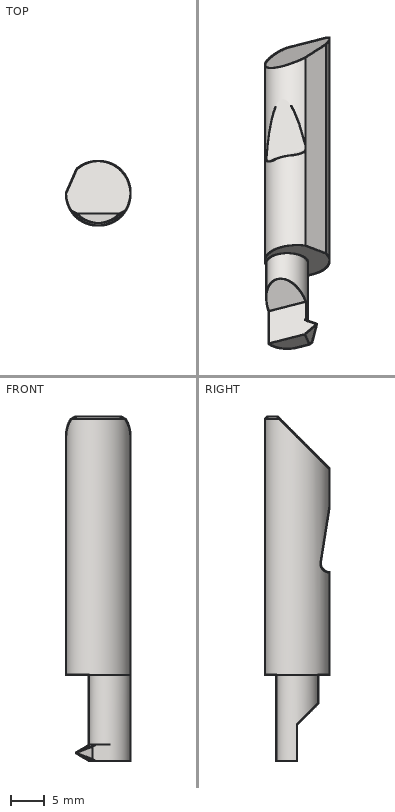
import cadquery as cq

total_length = 50.8
shank_diameter = 9.55
shank_radius = shank_diameter / 2
shank_bottom = 12.7
top_chamfer = 0.4
slope_edge_y = -2.95

flat_start = (-4.8, 0.0)
flat_end = (-3.2, 3.55)
flat_cutter_depth = 2.55

notch_top = 37.5
notch_bottom = 27.85
notch_radius = 1.3

neck_radius = 3.1
neck_x = shank_radius - neck_radius
relief_top = 8.55

tooth_height = 2.45
tip_x = -3.3
tooth_front_x = -0.85
flank_slope = 0.6
flank_setback = 0.85


def prism_along_x(sketch):
    """Extrude a closed YZ outline across the whole shank."""
    return sketch.extrude(shank_radius, both=True)


def make_shank():
    shank = (
        cq.Workplane("XY", origin=(0, 0, shank_bottom))
        .circle(shank_radius)
        .extrude(total_length - shank_bottom)
        .faces(">Z")
        .chamfer(top_chamfer)
    )
    slope_run = shank_radius - slope_edge_y
    end_slope = prism_along_x(
        cq.Workplane("YZ")
        .moveTo(slope_edge_y, total_length)
        .lineTo(shank_radius, total_length - slope_run)
        .lineTo(shank_radius, total_length)
        .close()
    )
    chord_x = flat_end[0] - flat_start[0]
    chord_y = flat_end[1] - flat_start[1]
    flat = (
        cq.Workplane(
            cq.Plane(origin=(*flat_start, shank_bottom), xDir=(chord_x, chord_y, 0), normal=(0, 0, 1))
        )
        .rect(2 * shank_diameter, flat_cutter_depth, centered=(True, False))
        .extrude(total_length)
    )
    notch_floor_y = shank_radius - notch_radius
    notch = prism_along_x(
        cq.Workplane("YZ")
        .moveTo(shank_radius, notch_top)
        .lineTo(notch_floor_y, notch_bottom + notch_radius)
        .radiusArc((shank_radius, notch_bottom), -notch_radius)
        .close()
    )
    return shank.cut(end_slope).cut(flat).cut(notch)


def make_neck():
    neck = cq.Workplane("XY").center(neck_x, 0).circle(neck_radius).extrude(shank_bottom)
    relief = prism_along_x(
        cq.Workplane("YZ")
        .lineTo(neck_radius, 0)
        .lineTo(neck_radius, relief_top)
        .lineTo(0, relief_top - neck_radius)
        .close()
    )
    tooth_seat = (
        cq.Workplane("XY", origin=(neck_x, 0, 0))
        .rect(-2 * neck_radius, -2 * neck_radius, centered=False)
        .extrude(tooth_height)
    )
    return neck.cut(relief).cut(tooth_seat)


def make_tooth():
    half_height = tooth_height / 2
    flank_length = half_height / flank_slope

    def point_outline(plane, apex_x):
        shoulder_x = apex_x + flank_length
        return plane.polyline(
            [
                (apex_x, half_height),
                (shoulder_x, tooth_height),
                (neck_x, tooth_height),
                (neck_x, 0),
                (shoulder_x, 0),
            ]
        ).close()

    rake = point_outline(cq.Workplane("XZ"), tip_x)
    point = point_outline(rake.workplane(offset=neck_radius), tip_x + flank_setback).loft(ruled=True)
    end_flank = (
        cq.Workplane("XY")
        .polyline(
            [(tip_x, 0), (tooth_front_x, -neck_radius), (neck_x, -neck_radius), (neck_x, 0)]
        )
        .close()
        .extrude(tooth_height)
    )
    return point.intersect(end_flank)


result = make_shank().union(make_neck()).union(make_tooth())